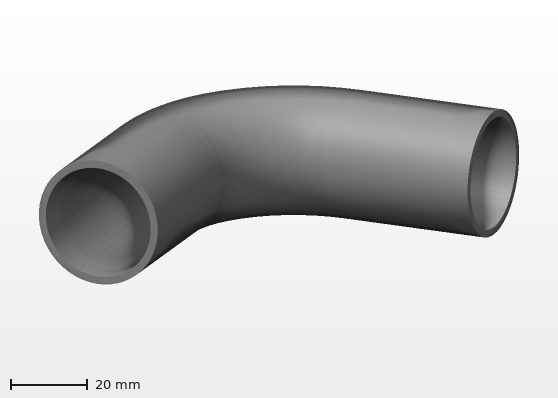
import cadquery as cq
import math

overall_size = 94.85
outer_diameter = 33.7
inner_diameter = 29.7
straight_length = 40.0

outer_radius = outer_diameter / 2
inner_radius = inner_diameter / 2
bend_radius = overall_size - straight_length - outer_radius

bend_centre = (bend_radius, -bend_radius)
leg_end = bend_radius + straight_length
bend_middle = (
    bend_centre[0] - bend_radius * math.cos(math.radians(45)),
    bend_centre[1] + bend_radius * math.sin(math.radians(45)),
)

centreline = (
    cq.Workplane("XY")
    .moveTo(0, -leg_end)
    .lineTo(0, -bend_radius)
    .threePointArc(bend_middle, (bend_radius, 0))
    .lineTo(leg_end, 0)
)

pipe_section = (
    cq.Workplane("XZ", origin=(0, -leg_end, 0))
    .circle(outer_radius)
    .circle(inner_radius)
)

result = pipe_section.sweep(centreline)